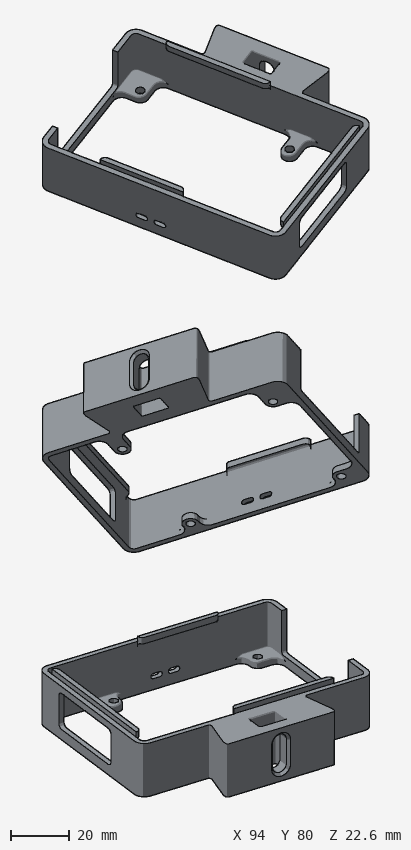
import cadquery as cq
import math

FRAME_LENGTH = 94.0
FRAME_WIDTH = 65.05
FRAME_HEIGHT = 20.6
WALL = 2.1
CORNER_RADIUS = 4.0
INNER_X = FRAME_LENGTH / 2 - WALL
INNER_Y = FRAME_WIDTH / 2 - WALL

BLOCK_REACH = 14.9
BLOCK_HALF_WIDTH = 21.9
BLOCK_ROOT_HALF_WIDTH = 18.8
BLOCK_STRAIGHT = 2.2
BLOCK_FILLET = 1.0
BLOCK_BACK = FRAME_WIDTH / 2 + BLOCK_REACH

SHAFT_LENGTH = 10.4
SHAFT_WIDTH = 6.5
SHAFT_Y = 39.2
SHAFT_CORNER = 0.5
SHAFT_RIM = 1.0
PORT_WIDTH = 5.6
PORT_HEIGHT = 14.7
PORT_CHAMFER = 1.0

LIP_DEPTH = 2.0
LIP_RISE = 2.0
LIP_OVERLAP = 0.5
LIP_COVE = 1.5
BACK_LIP = (-32.1, 8.1)
FRONT_LIP = (-24.1, 8.1)
SIDE_LIP = (-26.5, 26.5)

SCREW_SPACING_X = 58.0
SCREW_SPACING_Y = 49.0
SCREW_CENTRE_X = -8.9
SCREW_CENTRE_Y = -2.1
SCREW_HOLE = 3.2
SCREW_POINTS = [
    (SCREW_CENTRE_X + i * SCREW_SPACING_X / 2, SCREW_CENTRE_Y + j * SCREW_SPACING_Y / 2)
    for i in (-1, 1)
    for j in (-1, 1)
]
PAD_HEIGHT = 3.0
PAD_RADIUS = 3.0
PAD_SIDE_FILLET = 3.4
PAD_EDGE_FILLET = 1.0
PAD_WALL_FILLET = 0.5

NOTCH_Y = (-22.5, 19.4)
NOTCH_FLOOR = 3.8
NOTCH_CORNER = 1.0
WINDOW_Y = (-19.0, 13.8)
WINDOW_Z = (4.0, 18.0)
WINDOW_CORNER = 1.8
SLOT_LENGTH = 4.5
SLOT_HEIGHT = 2.0
SLOT_Z = 5.3
SLOT_CENTRES_X = (-6.8, 0.3)

MARGIN = 0.9


def box(x_range, y_range, z_range):
    """Axis-aligned box from its limits."""
    size = [high - low for low, high in (x_range, y_range, z_range)]
    return (
        cq.Workplane("XY")
        .box(*size, centered=False)
        .translate((x_range[0], y_range[0], z_range[0]))
    )


def frame_blank():
    """Outer block of the frame together with the dovetail block."""
    body = (
        cq.Workplane("XY")
        .rect(FRAME_LENGTH, FRAME_WIDTH)
        .extrude(FRAME_HEIGHT)
        .edges("|Z")
        .fillet(CORNER_RADIUS)
    )
    root_y = FRAME_WIDTH / 2
    knee_y = BLOCK_BACK - BLOCK_STRAIGHT
    block = (
        cq.Workplane("XY")
        .moveTo(-BLOCK_ROOT_HALF_WIDTH, INNER_Y)
        .lineTo(-BLOCK_ROOT_HALF_WIDTH, root_y)
        .lineTo(-BLOCK_HALF_WIDTH, knee_y)
        .lineTo(-BLOCK_HALF_WIDTH, BLOCK_BACK)
        .lineTo(BLOCK_HALF_WIDTH, BLOCK_BACK)
        .lineTo(BLOCK_HALF_WIDTH, knee_y)
        .lineTo(BLOCK_ROOT_HALF_WIDTH, root_y)
        .lineTo(BLOCK_ROOT_HALF_WIDTH, INNER_Y)
        .close()
        .extrude(FRAME_HEIGHT)
        .edges("|Z and >Y")
        .fillet(BLOCK_FILLET)
    )
    body = body.union(block)
    for side in (-1, 1):
        root = cq.selectors.NearestToPointSelector(
            (side * BLOCK_ROOT_HALF_WIDTH, root_y, FRAME_HEIGHT / 2)
        )
        body = body.edges("|Z").edges(root).fillet(BLOCK_FILLET)
    return body


def cavity():
    """Space enclosed by the walls."""
    return (
        cq.Workplane("XY")
        .rect(2 * INNER_X, 2 * INNER_Y)
        .extrude(FRAME_HEIGHT)
        .edges("|Z")
        .fillet(CORNER_RADIUS - WALL)
    )


def lip(span):
    """Lip along local X, growing towards +Y from a wall face at y = 0."""
    low, high = span
    length = high - low
    top = FRAME_HEIGHT + LIP_RISE
    underside = FRAME_HEIGHT - LIP_OVERLAP
    profile = (
        cq.Workplane("YZ")
        .moveTo(0, top)
        .lineTo(LIP_DEPTH, top)
        .lineTo(LIP_DEPTH, underside)
        .lineTo(LIP_COVE, underside)
        .radiusArc((0, underside - LIP_COVE), -LIP_COVE)
        .close()
        .extrude(length)
    )
    plan = (
        cq.Workplane("XY")
        .moveTo(0, 0)
        .radiusArc((LIP_DEPTH, LIP_DEPTH), LIP_DEPTH)
        .lineTo(length - LIP_DEPTH, LIP_DEPTH)
        .radiusArc((length, 0), LIP_DEPTH)
        .close()
        .extrude(top)
    )
    return profile.intersect(plan).translate((low, 0, 0))


def lips():
    """Lips on the back, front and +X walls."""
    back = lip((-BACK_LIP[1], -BACK_LIP[0])).rotate((0, 0, 0), (0, 0, 1), 180)
    side = lip(SIDE_LIP).rotate((0, 0, 0), (0, 0, 1), 90)
    return (
        back.translate((0, INNER_Y, 0)),
        lip(FRONT_LIP).translate((0, -INNER_Y, 0)),
        side.translate((INNER_X, 0, 0)),
    )


def vertical_edge(x, y):
    """Selector for the vertical edge nearest to (x, y) in the pad slab."""
    return cq.selectors.NearestToPointSelector((x, y, PAD_HEIGHT / 2))


def screw_pads():
    """Bottom slab, wall to wall, whose opening leaves the four screw pads."""
    slab = box(
        (-FRAME_LENGTH / 2, FRAME_LENGTH / 2), (-FRAME_WIDTH / 2, FRAME_WIDTH / 2), (0, PAD_HEIGHT)
    ).cut(cavity())
    wall_corners = []
    for x, y in SCREW_POINTS:
        wall_y = math.copysign(INNER_Y, y)
        root_y = math.copysign(INNER_Y + MARGIN, y)
        tip_y = y - math.copysign(PAD_RADIUS, y)
        right = x + PAD_RADIUS
        wall_corners.append((right, wall_y))
        if x < SCREW_CENTRE_X:
            pad = box((-INNER_X - MARGIN, right), sorted((tip_y, root_y)), (0, PAD_HEIGHT))
            pad = pad.edges(vertical_edge(right, tip_y)).fillet(PAD_RADIUS)
            wall_corners.append((-INNER_X, tip_y))
        else:
            left = x - PAD_RADIUS
            tongue = box((left, right), sorted((y, root_y)), (0, PAD_HEIGHT))
            tip = cq.Workplane("XY").center(x, y).circle(PAD_RADIUS).extrude(PAD_HEIGHT)
            pad = tongue.union(tip)
            wall_corners.append((left, wall_y))
        slab = slab.union(pad)
    for corner in wall_corners:
        slab = slab.edges(vertical_edge(*corner)).fillet(PAD_SIDE_FILLET)
    opening_zone = cq.selectors.BoxSelector(
        (-INNER_X - MARGIN, -INNER_Y - MARGIN, 0),
        (INNER_X + MARGIN, INNER_Y + MARGIN, PAD_HEIGHT + MARGIN),
    )
    return slab.faces(">Z").edges(opening_zone).fillet(PAD_EDGE_FILLET)


def side_openings():
    """Notch in the -X wall, window in the +X wall and slots in the -Y wall."""
    outside = FRAME_LENGTH / 2 + MARGIN
    notch = (
        box((-outside, 0), NOTCH_Y, (NOTCH_FLOOR, FRAME_HEIGHT + MARGIN))
        .edges("|X and <Z")
        .fillet(NOTCH_CORNER)
    )
    window = box((0, outside), WINDOW_Y, WINDOW_Z).edges("|X").fillet(WINDOW_CORNER)
    slots = (
        cq.Workplane("XZ", origin=(0, -INNER_Y + MARGIN, SLOT_Z))
        .pushPoints([(x, 0) for x in SLOT_CENTRES_X])
        .slot2D(SLOT_LENGTH, SLOT_HEIGHT)
        .extrude(WALL + 2 * MARGIN)
    )
    return notch, window, slots


def cut_shaft(body):
    """Cut the shaft with its rounded rim, and the chamfered port from it to the +Y face."""
    shaft = (
        cq.Workplane("XY")
        .center(0, SHAFT_Y)
        .rect(SHAFT_LENGTH, SHAFT_WIDTH)
        .extrude(FRAME_HEIGHT)
        .edges("|Z")
        .fillet(SHAFT_CORNER)
    )
    rim_zone = cq.selectors.BoxSelector(
        (-SHAFT_LENGTH, SHAFT_Y - SHAFT_WIDTH, FRAME_HEIGHT - MARGIN),
        (SHAFT_LENGTH, SHAFT_Y + SHAFT_WIDTH, FRAME_HEIGHT + MARGIN),
    )
    body = body.cut(shaft).faces(">Z").edges(rim_zone).fillet(SHAFT_RIM)
    port = (
        cq.Workplane("XZ", origin=(0, BLOCK_BACK, FRAME_HEIGHT / 2))
        .slot2D(PORT_HEIGHT, PORT_WIDTH, 90)
        .extrude(BLOCK_BACK - SHAFT_Y)
    )
    return body.cut(port).faces(">Y").edges("%CIRCLE").chamfer(PORT_CHAMFER)


def join_pads(walls):
    """Add the pads to the walls, with a small fillet where their tops meet the walls."""
    body = walls.union(screw_pads().intersect(frame_blank()))
    seam_points = [(x, math.copysign(INNER_Y, y), PAD_HEIGHT) for x, y in SCREW_POINTS]
    for point in seam_points:
        body = body.edges(cq.selectors.NearestToPointSelector(point)).fillet(PAD_WALL_FILLET)
    return body


result = join_pads(cut_shaft(frame_blank().cut(cavity())))
for piece in lips():
    result = result.union(piece)
for opening in side_openings():
    result = result.cut(opening)
screw_holes = cq.Workplane("XY").pushPoints(SCREW_POINTS).circle(SCREW_HOLE / 2).extrude(PAD_HEIGHT)
result = result.cut(screw_holes)